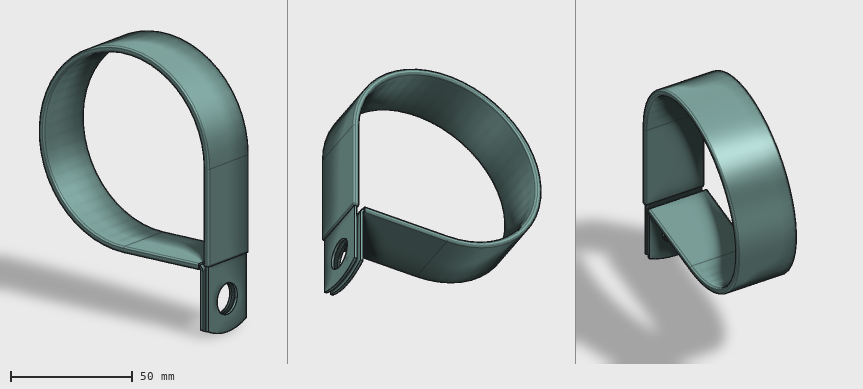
import cadquery as cq
import math

loop_radius = 44.08
cushion_width = 27.0
plate_thickness = 1.2
cushion_cover = 0.76
cushion_thickness = plate_thickness + 2 * cushion_cover
inner_radius = loop_radius - cushion_thickness
middle_radius = loop_radius - cushion_thickness / 2
upright_end_z = -42.1
floor_end_x = 38.8

overall_height = 117.1
lug_bottom_z = loop_radius - overall_height
lug_width = cushion_width - 2 * cushion_cover
lug_tip_rise = 3.0
bent_lug_outer_x = 40.45
bent_lug_inner_x = bent_lug_outer_x - plate_thickness
bend_inner_radius = 1.2
bend_outer_radius = bend_inner_radius + plate_thickness
hole_diameter = 13.5
hole_z = -58.8
embed_length = 3.5


def extrude_across(profile, width):
    """Extrude an XZ profile symmetrically about the XZ plane."""
    return profile.extrude(width / 2, both=True)


def make_cushion():
    """Three-quarter ring with tangent straight ends; the floor end is cut square."""
    diagonal = math.sqrt(0.5)
    profile = (
        cq.Workplane("XZ")
        .moveTo(loop_radius, upright_end_z)
        .lineTo(loop_radius, 0)
        .threePointArc((-loop_radius * diagonal, loop_radius * diagonal), (0, -loop_radius))
        .lineTo(floor_end_x, -loop_radius)
        .lineTo(floor_end_x, -inner_radius)
        .lineTo(0, -inner_radius)
        .threePointArc((-inner_radius * diagonal, inner_radius * diagonal), (inner_radius, 0))
        .lineTo(inner_radius, upright_end_z)
        .close()
    )
    cushion = extrude_across(profile, cushion_width)
    rims = cushion.faces("<Y or >Y").edges().filter(
        lambda edge: abs(edge.Center().x - floor_end_x) > cushion_cover
    )
    upright_end_edges = cushion.edges(
        cq.selectors.BoxSelector(
            (inner_radius - cushion_cover, -cushion_width, upright_end_z - cushion_cover),
            (loop_radius + cushion_cover, cushion_width, upright_end_z + cushion_cover),
        )
    )
    return rims.add(upright_end_edges).fillet(cushion_cover)


def make_straight_lug():
    """Flat plate continuing down from the upright cushion end."""
    top_z = upright_end_z + embed_length
    profile = (
        cq.Workplane("XZ")
        .moveTo(middle_radius - plate_thickness / 2, lug_bottom_z)
        .lineTo(middle_radius + plate_thickness / 2, lug_bottom_z)
        .lineTo(middle_radius + plate_thickness / 2, top_z)
        .lineTo(middle_radius - plate_thickness / 2, top_z)
        .close()
    )
    return extrude_across(profile, lug_width)


def make_bent_lug():
    """Plate leaving the horizontal cushion end and bending downward."""
    plate_top_z = -middle_radius + plate_thickness / 2
    plate_under_z = plate_top_z - plate_thickness
    bend_x = bent_lug_outer_x - bend_outer_radius
    bend_z = plate_top_z - bend_outer_radius
    start_x = floor_end_x - embed_length
    profile = (
        cq.Workplane("XZ")
        .moveTo(start_x, plate_top_z)
        .lineTo(bend_x, plate_top_z)
        .radiusArc((bent_lug_outer_x, bend_z), bend_outer_radius)
        .lineTo(bent_lug_outer_x, lug_bottom_z)
        .lineTo(bent_lug_inner_x, lug_bottom_z)
        .lineTo(bent_lug_inner_x, bend_z)
        .radiusArc((bend_x, plate_under_z), -bend_inner_radius)
        .lineTo(start_x, plate_under_z)
        .close()
    )
    return extrude_across(profile, lug_width)


def make_lug_envelope():
    """Volume that gives both lugs their curved tip and bolt hole."""
    half_width = lug_width / 2
    shoulder_z = lug_bottom_z + lug_tip_rise
    outline = (
        cq.Workplane("YZ")
        .moveTo(-half_width, 0)
        .lineTo(-half_width, shoulder_z)
        .threePointArc((0, lug_bottom_z), (half_width, shoulder_z))
        .lineTo(half_width, 0)
        .close()
        .extrude(loop_radius)
    )
    hole = cq.Workplane("YZ").center(0, hole_z).circle(hole_diameter / 2).extrude(loop_radius)
    return outline.cut(hole)


lugs = make_straight_lug().union(make_bent_lug()).intersect(make_lug_envelope())
result = make_cushion().union(lugs)